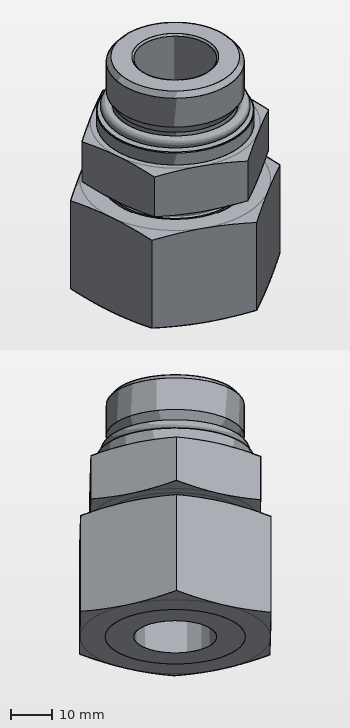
import cadquery as cq
import math

total_height = 62.1
nut_height = 27.0
hex_base_z = 30.15
hex_top_z = 43.2
collar_top_z = 46.8
relief_low_z = 50.1
thread_low_z = 52.5

nut_across_flats = 46.0
body_across_flats = 41.0
hex_turn = 7.45
hex_chamfer_angle = 15.0

bore_diameter = 20.0
bore_chamfer = 0.5
thread_diameter = 33.34
thread_tip_diameter = 31.05
thread_tip_length = 1.35
groove_diameter = 30.35
collar_diameter = 38.1
collar_chamfer = 0.2
neck_diameter = 33.0
neck_fillet = 1.5
stem_diameter = 33.84
stem_top_z = 26.6

mouth_diameter = 36.0
mouth_depth = (mouth_diameter - stem_diameter) / 2

ring_section = 2.9


def chamfered_hexagon(across_flats, base_z, height):
    """Hexagonal prism whose corners are cut back to the across-flats circle at both ends."""
    corner_radius = across_flats / math.sqrt(3)
    face_radius = across_flats / 2
    drop = (corner_radius - face_radius) * math.tan(math.radians(hex_chamfer_angle))
    prism = (
        cq.Workplane("XY")
        .polygon(6, 2 * corner_radius)
        .extrude(height)
        .rotate((0, 0, 0), (0, 0, 1), 90)
    )
    envelope = (
        cq.Workplane("XZ")
        .polyline([
            (0, 0),
            (face_radius, 0),
            (corner_radius, drop),
            (corner_radius, height - drop),
            (face_radius, height),
            (0, height),
        ])
        .close()
        .revolve(360, (0, 0, 0), (0, 1, 0))
    )
    return prism.intersect(envelope).translate((0, 0, base_z))


def make_nut():
    """Union nut with a countersunk through hole that fits the stem of the body."""
    nut = chamfered_hexagon(nut_across_flats, 0, nut_height)
    stem_radius = stem_diameter / 2
    hole = (
        cq.Workplane("XZ")
        .moveTo(0, 0)
        .lineTo(stem_radius, 0)
        .lineTo(stem_radius, nut_height - mouth_depth)
        .lineTo(mouth_diameter / 2, nut_height)
        .lineTo(0, nut_height)
        .close()
        .revolve(360, (0, 0, 0), (0, 1, 0))
    )
    return nut.cut(hole)


def make_body():
    """Fitting body: stem, wrench hexagon, collar, O-ring groove and threaded end."""
    stem_radius = stem_diameter / 2
    neck_radius = neck_diameter / 2
    collar_radius = collar_diameter / 2
    groove_radius = groove_diameter / 2
    thread_radius = thread_diameter / 2
    shoulder_fillet = stem_radius - neck_radius
    turned = (
        cq.Workplane("XZ")
        .moveTo(0, 0)
        .lineTo(stem_radius, 0)
        .lineTo(stem_radius, stem_top_z)
        .radiusArc((neck_radius, stem_top_z + shoulder_fillet), shoulder_fillet)
        .lineTo(neck_radius, hex_base_z - neck_fillet)
        .radiusArc((neck_radius + neck_fillet, hex_base_z), neck_fillet)
        .lineTo(collar_radius, hex_base_z)
        .lineTo(collar_radius, collar_top_z - collar_chamfer)
        .lineTo(collar_radius - collar_chamfer, collar_top_z)
        .lineTo(groove_radius, collar_top_z)
        .lineTo(groove_radius, relief_low_z)
        .lineTo(thread_radius, thread_low_z)
        .lineTo(thread_radius, total_height - thread_tip_length)
        .lineTo(thread_tip_diameter / 2, total_height)
        .lineTo(0, total_height)
        .close()
        .revolve(360, (0, 0, 0), (0, 1, 0))
    )
    wrench_hexagon = chamfered_hexagon(
        body_across_flats, hex_base_z, hex_top_z - hex_base_z
    )
    bore_radius = bore_diameter / 2
    bore = (
        cq.Workplane("XZ")
        .moveTo(0, 0)
        .lineTo(bore_radius, 0)
        .lineTo(bore_radius, total_height - bore_chamfer)
        .lineTo(bore_radius + bore_chamfer, total_height)
        .lineTo(0, total_height)
        .close()
        .revolve(360, (0, 0, 0), (0, 1, 0))
    )
    return turned.union(wrench_hexagon).cut(bore)


def make_o_ring():
    """O-ring hugging the groove."""
    section_radius = ring_section / 2
    centre_radius = groove_diameter / 2 + section_radius
    return (
        cq.Workplane("XZ")
        .center(centre_radius, collar_top_z + section_radius)
        .circle(section_radius)
        .revolve(360, (-centre_radius, 0, 0), (-centre_radius, 1, 0))
    )


def turn_to_place(part):
    """Turn a part about Z so that the hexagon corners point the right way."""
    return part.rotate((0, 0, 0), (0, 0, 1), hex_turn)


nut = turn_to_place(make_nut())
body = turn_to_place(make_body())
o_ring = turn_to_place(make_o_ring())

result = cq.Compound.makeCompound([*nut.solids().vals(), *body.solids().vals(), *o_ring.solids().vals()])